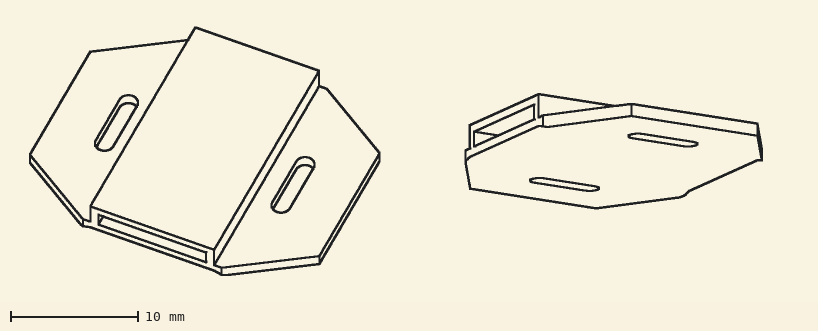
import cadquery as cq

length = 25.0
width = 20.0
plate_thickness = 1.0
end_edge_length = 11.5
side_edge_length = 12.0

height = 2.9
wall = 0.7
sleeve_width = 10.7
cavity_width = sleeve_width - 2 * wall
cavity_height = height - wall - plate_thickness

channel_depth = plate_thickness - wall
channel_roof_width = sleeve_width
channel_mouth_width = 12.7

slot_width = 1.5
slot_length = 6.05
slot_offset = 7.62


def make_plate():
    """Rectangular plate with its four corners cut off."""
    plate = cq.Workplane("XY").box(length, width, plate_thickness, centered=(True, True, False))
    corner_x = (length - side_edge_length) / 2
    corner_y = (width - end_edge_length) / 2
    for sx in (-1, 1):
        for sy in (-1, 1):
            x = sx * length / 2
            y = sy * width / 2
            corner = (
                cq.Workplane("XY")
                .polyline([(x, y), (x - sx * corner_x, y), (x, y - sy * corner_y)])
                .close()
                .extrude(plate_thickness)
            )
            plate = plate.cut(corner)
    return plate


def make_block(block_width, bottom, block_height):
    """Block spanning the full width of the part along Y."""
    return (
        cq.Workplane("XY", origin=(0, 0, bottom))
        .box(block_width, width, block_height, centered=(True, True, False))
    )


def make_channel():
    """Trapezoidal prism removed from the underside."""
    mouth = channel_mouth_width / 2
    roof = channel_roof_width / 2
    return (
        cq.Workplane("XZ")
        .polyline([(-mouth, 0), (-roof, channel_depth), (roof, channel_depth), (mouth, 0)])
        .close()
        .extrude(width / 2, both=True)
    )


def make_slots():
    """Two rounded slots, one in each wing of the plate."""
    return (
        cq.Workplane("XY")
        .pushPoints([(-slot_offset, 0), (slot_offset, 0)])
        .slot2D(slot_length, slot_width, 90)
        .extrude(plate_thickness)
    )


sleeve = make_block(sleeve_width, plate_thickness, height - plate_thickness)
cavity = make_block(cavity_width, plate_thickness, cavity_height)

result = make_plate().union(sleeve).cut(cavity).cut(make_channel()).cut(make_slots())